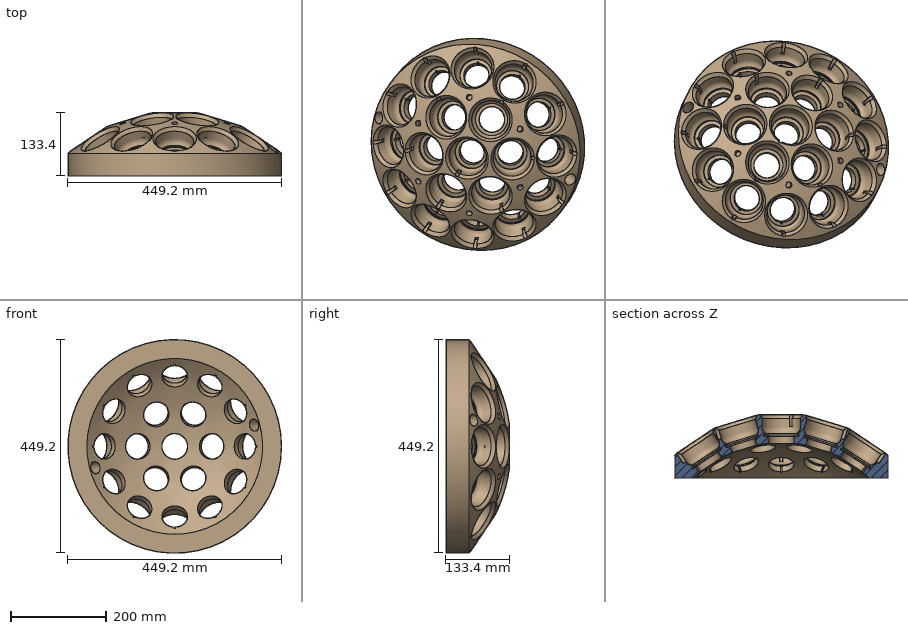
import cadquery as cq
import math

overall_depth = 133.44
rim_radius = 449.2 / 2
sphere_center_y = -191.5
inner_sphere_radius = 266.0

bore_radius = 53.49 / 2
step_radius = 67.73 / 2
pocket_radius = 80.4 / 2
mouth_radius = 45.8
undercut_radius = 36.4
mouth_at = overall_depth - sphere_center_y
chamfer_depth = 7.7
pocket_depth = 27.4
seat_depth = 39.2
undercut_depth = 42.6
step_floor_depth = 45.9
chamfer_bottom_at = mouth_at - chamfer_depth
pocket_bottom_at = mouth_at - pocket_depth
seat_at = mouth_at - seat_depth
undercut_top_at = mouth_at - undercut_depth
step_floor_at = mouth_at - step_floor_depth
seat_turn = math.radians(40)
seat_fillet = 12.2

outer_sphere_radius = math.hypot(mouth_at, mouth_radius)

cutter_overrun = 12.0
cutter_start = inner_sphere_radius - cutter_overrun
cutter_end = outer_sphere_radius + cutter_overrun

key_radius = 4.0
key_offset = 43.0
key_bottom_gap = 2.0
key_bottom_at = pocket_bottom_at + key_bottom_gap
central_key_azimuth = -60

notch_radius = 2.0
notch_shift = 1.3
notch_offset = bore_radius + notch_shift

inner_ring_count = 6
inner_ring_tilt = 17.0
outer_ring_count = 12
outer_ring_tilt = 33.8

blind_hole_diameter = 12.19
blind_hole_depth = 12.7
blind_hole_tilt = 22.7
blind_hole_count = 6
through_hole_diameter = 25.4
through_hole_tilt = 40.5
through_hole_azimuths = (15, 195)


def sphere(radius):
    return cq.Workplane("XY").sphere(radius).translate((0, sphere_center_y, 0))


def make_dome():
    cylinder_length = outer_sphere_radius + sphere_center_y
    blank = cq.Workplane("XZ").circle(rim_radius).extrude(-cylinder_length)
    return blank.intersect(sphere(outer_sphere_radius)).cut(sphere(inner_sphere_radius))


def aim(cutter, tilt, azimuth):
    """Turn a cutter built along +Z from the origin onto a radial line of the dome.

    The cutter's +X side ends up facing away from the dome axis.
    """
    return (
        cutter.rotate((0, 0, 0), (1, 0, 0), -90)
        .rotate((0, 0, 0), (0, 0, 1), -tilt)
        .rotate((0, 0, 0), (0, 1, 0), -azimuth)
        .translate((0, sphere_center_y, 0))
    )


def rod(radius, start, end, offset=0.0):
    return cq.Workplane("XY", origin=(offset, 0, start)).circle(radius).extrude(end - start)


def seat_point(turn):
    """Point on the fillet below the pocket wall after turning by the given angle."""
    return (
        pocket_radius - seat_fillet * (1 - math.cos(turn)),
        pocket_bottom_at - seat_fillet * math.sin(turn),
    )


def make_port():
    flare = (mouth_radius - pocket_radius) / chamfer_depth
    end_radius = mouth_radius + flare * (cutter_end - mouth_at)
    profile = (
        cq.Workplane("XZ")
        .moveTo(0, cutter_start)
        .lineTo(bore_radius, cutter_start)
        .lineTo(bore_radius, step_floor_at)
        .lineTo(undercut_radius, step_floor_at)
        .lineTo(undercut_radius, undercut_top_at)
        .lineTo(step_radius, undercut_top_at)
        .lineTo(step_radius, seat_at)
        .lineTo(*seat_point(seat_turn))
        .threePointArc(seat_point(seat_turn / 2), (pocket_radius, pocket_bottom_at))
        .lineTo(pocket_radius, chamfer_bottom_at)
        .lineTo(end_radius, cutter_end)
        .lineTo(0, cutter_end)
        .close()
    )
    port = profile.revolve(360, (0, 0, 0), (0, 1, 0))
    return port.union(rod(key_radius, key_bottom_at, cutter_end, key_offset))


def ring_azimuths(count, first=0.0):
    return [first + 360 / count * index for index in range(count)]


def cut_radially(body, cutter, tilt, azimuths):
    for azimuth in azimuths:
        body = body.cut(aim(cutter, tilt, azimuth))
    return body


port = make_port()
notched_port = port.union(rod(notch_radius, cutter_start, step_floor_at, notch_offset))
blind_hole = rod(blind_hole_diameter / 2, outer_sphere_radius - blind_hole_depth, cutter_end)
through_hole = rod(through_hole_diameter / 2, cutter_start, cutter_end)
blind_hole_azimuths = ring_azimuths(blind_hole_count, 180 / blind_hole_count)

dome = make_dome()
dome = cut_radially(dome, port, 0, [central_key_azimuth])
dome = cut_radially(dome, port, inner_ring_tilt, ring_azimuths(inner_ring_count))
dome = cut_radially(dome, notched_port, outer_ring_tilt, ring_azimuths(outer_ring_count))
dome = cut_radially(dome, blind_hole, blind_hole_tilt, blind_hole_azimuths)
dome = cut_radially(dome, through_hole, through_hole_tilt, through_hole_azimuths)

result = dome